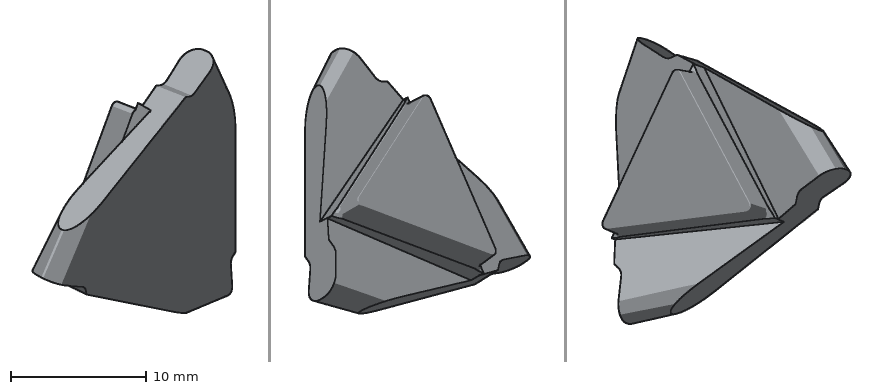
import math

import cadquery as cq


total_height = 5.54
vertex_radius = 8.24
side_distance = vertex_radius * math.cos(math.pi / 6)
half_side = side_distance
triangle_inradius = vertex_radius / 2
body_side_turn = 30
wing_count = 3
wing_step = 360 / wing_count

platform_height = 3.2
platform_draft = 2.0

insert_inradius = 4.02
insert_draft = 2.0
insert_corner_radius = 0.45
insert_rim_radius = 0.08
cove_radius = 0.4

wing_start_height = 1.80
wing_slope_u = -0.064
wing_slope_v = -0.081
wing_tip = (-6.78, -10.29)
wing_end_angle = 5.0
wing_round_radius = 1.38

notch_shoulder_v = -6.16
notch_corner = (-6.6, -6.65)
notch_face_angle = 4.4
notch_fillet_radius = 0.7
notch_shoulder_radius = 0.15
notch_draft = 2.6

clearance = 6.0
cutter_reach = 3 * vertex_radius


def flat_plane(height=0.0):
    return cq.Workplane("XY").workplane(offset=height)


def triangle(inradius, height, thickness, draft):
    """Prism on an upright triangle, narrowing upward by the draft angle."""
    half_width = inradius * math.sqrt(3)
    corners = [(-half_width, -inradius), (half_width, -inradius), (0, 2 * inradius)]
    return flat_plane(height).polyline(corners).close().extrude(thickness, taper=draft)


def make_central_block():
    """Platform with the insert on top and a cove between them."""
    insert = triangle(insert_inradius, platform_height, total_height - platform_height, insert_draft)
    insert = insert.edges("not #Z").fillet(insert_corner_radius)
    insert = insert.faces(">Z").edges().fillet(insert_rim_radius)
    blank = flat_plane().circle(vertex_radius + clearance).extrude(platform_height).union(insert)
    reach = vertex_radius
    foot_zone = cq.selectors.BoxSelector(
        (-reach, -reach, platform_height - cove_radius),
        (reach, reach, platform_height + cove_radius),
        boundingbox=True,
    )
    blank = blank.edges(foot_zone).fillet(cove_radius)
    foot_inradius = triangle_inradius + platform_height * math.tan(math.radians(platform_draft))
    walls = triangle(foot_inradius, 0, total_height, platform_draft)
    sides = triangle(side_distance, 0, total_height, 0).rotate((0, 0, 0), (0, 0, 1), body_side_turn)
    return blank.intersect(walls).intersect(sides)


def make_notch_cutter():
    """Relief beside the wing tip, widening upward."""
    shoulder_slope = (notch_corner[1] - notch_shoulder_v) / (notch_corner[0] + side_distance)
    outer_u = -side_distance - clearance
    shoulder_end = (outer_u, notch_shoulder_v - shoulder_slope * clearance)
    face_v = wing_tip[1] - clearance
    face_u = notch_corner[0] + (face_v - notch_corner[1]) * math.tan(math.radians(notch_face_angle))
    outline = [shoulder_end, notch_corner, (face_u, face_v), (outer_u, face_v), shoulder_end]
    profile = cq.Sketch().polygon(outline).vertices().fillet(notch_fillet_radius)
    return flat_plane().placeSketch(profile).extrude(total_height, taper=-notch_draft)


def make_wing():
    """Wing below the lower triangle side, with a rounded end and a notched tip."""
    start = (half_side, -triangle_inradius)
    end_slope = math.tan(math.radians(wing_end_angle))
    side_slope = math.tan(math.radians(body_side_turn))
    side_offset = start[1] - side_slope * start[0]
    end_offset = wing_tip[1] - end_slope * wing_tip[0]
    end_u = (end_offset - side_offset) / (side_slope - end_slope)
    outer_corner = (end_u, end_offset + end_slope * end_u)
    tip_corner = (-side_distance, end_offset - end_slope * side_distance)
    outline = [(0, 0), start, outer_corner, tip_corner, (-half_side, -triangle_inradius)]
    wing = flat_plane().polyline(outline).close().extrude(total_height)

    top_plane = cq.Plane(
        origin=(*start, wing_start_height),
        xDir=(1, 0, wing_slope_u),
        normal=(-wing_slope_u, -wing_slope_v, 1),
    )
    above = cq.Workplane(top_plane).circle(cutter_reach).extrude(2 * clearance)
    wing = wing.cut(above)

    end_direction = (math.sin(math.radians(wing_end_angle)), -math.cos(math.radians(wing_end_angle)), 0)
    end_face = wing.faces(cq.selectors.DirectionMinMaxSelector(cq.Vector(end_direction), True))
    long_edges = end_face.edges("not |Z")
    wing = long_edges.fillet(wing_round_radius)
    wing = wing.cut(make_notch_cutter())
    shoulder_point = (-side_distance, notch_shoulder_v, wing_start_height / 2)
    shoulder_edge = wing.edges(cq.selectors.NearestToPointSelector(shoulder_point))
    return shoulder_edge.fillet(notch_shoulder_radius)


body = make_central_block()
wing = make_wing()
for index in range(wing_count):
    body = body.union(wing.rotate((0, 0, 0), (0, 0, 1), index * wing_step))

result = body.rotate((0, 0, 0), (1, 0, 0), 90).rotate((0, 0, 0), (0, 0, 1), -90)